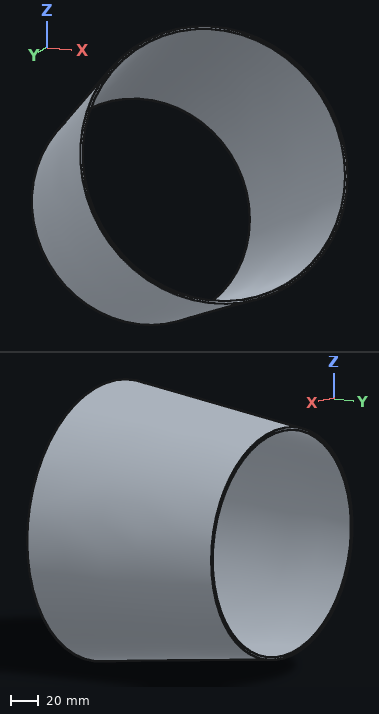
import cadquery as cq

large_diameter = 204.0
small_diameter = 168.3
length = 152.0
wall = 2.0

large_radius = large_diameter / 2
small_radius = small_diameter / 2


def conical_shell():
    """Revolve the slanted wall section about the Y axis."""
    section = (
        cq.Workplane("XY")
        .moveTo(large_radius - wall, 0)
        .lineTo(large_radius, 0)
        .lineTo(small_radius, length)
        .lineTo(small_radius - wall, length)
        .close()
    )
    return section.revolve(360, (0, 0, 0), (0, 1, 0))


result = conical_shell()